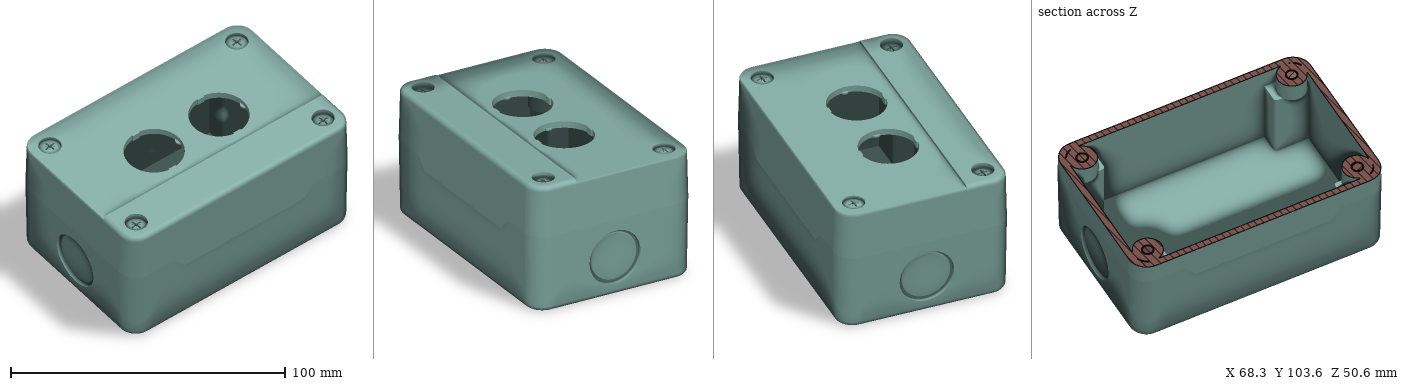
import cadquery as cq
import math

HEIGHT = 50.6
PARTING_Z = 30.6
BASE_DRAFT = 1.0
LID_DRAFT = 1.5
BASE_SLOPE = math.tan(math.radians(BASE_DRAFT))
LID_SLOPE = math.tan(math.radians(LID_DRAFT))
OVERALL_X = 68.31
LENGTH_Y = 103.57
CORNER_RADIUS = 7.5
EDGE_FILLET = 2.0

TAB_DEPTH = 5.2
TAB_TOP_HALF = 32.3
TAB_BOTTOM_HALF = 27.8
WIDTH_X = OVERALL_X - 2 * TAB_DEPTH * LID_SLOPE

WALL = 3.0
FLOOR = 3.0
LID_PLATE = 2.6
INNER_X = WIDTH_X - 2 * WALL
INNER_Y = LENGTH_Y - 2 * WALL
INNER_RADIUS = CORNER_RADIUS - WALL

STEP_HEIGHT = 1.0
STRIP_X = 16.0
PANEL_Z = HEIGHT - STEP_HEIGHT
LID_UNDERSIDE = PANEL_Z - LID_PLATE

OPENING_Y = 15.0
OPENING_DIAMETER = 22.4
KEY_WIDTH = 3.0
KEY_INSET = 0.65
NUB_RADIUS = 1.81
NUB_INSET = 1.0
NUB_HEIGHT = 0.6

SCREW_X = 25.5
SCREW_Y = 43.25
HEAD_DIAMETER = 8.45
HEAD_HOLE_DIAMETER = 8.5
HEAD_RIM_Z = 48.6
HEAD_SEAT_Z = 45.8
HEAD_RIM_FILLET = 0.75
HEAD_DOME = 0.8
SHANK_DIAMETER = 4.0
SHANK_END_Z = 12.0
CLEARANCE_DIAMETER = 4.5
BOSS_DIAMETER = 11.5
POST_X = 22.85
POST_Y = 35.0
POST_ROUNDING = 1.25
CROSS_TURN = 8.0
CROSS_SPAN = 4.45
CROSS_ARM = 0.7
CROSS_MARK_SPAN = 3.62
CROSS_MARK_TURN = 45.0
CROSS_MARK_ARM = 0.25
CROSS_DEPTH = 1.5
CROSS_MARK_DEPTH = 0.6

KNOCKOUT_Z = 15.4
KNOCKOUT_RECESS_DIAMETER = 21.5
KNOCKOUT_DISC_DIAMETER = 19.5
KNOCKOUT_DEPTH = 1.5
KNOCKOUT_DISC_HEIGHT = 0.6
KNOCKOUT_FILLET = 0.5

SCREW_SPOTS = [(sx * SCREW_X, sy * SCREW_Y) for sx in (-1, 1) for sy in (-1, 1)]


def drafted_block(height, draft):
    """Rounded block that starts at the parting plane and narrows; negative height goes down."""
    outline = cq.Sketch().rect(WIDTH_X, LENGTH_Y).vertices().fillet(CORNER_RADIUS)
    return (
        cq.Workplane("XY", origin=(0, 0, PARTING_Z))
        .placeSketch(outline)
        .extrude(height, taper=draft)
    )


def cavity(bottom_z, top_z):
    return (
        cq.Workplane("XY", origin=(0, 0, bottom_z))
        .rect(INNER_X, INNER_Y)
        .extrude(top_z - bottom_z)
        .edges("|Z")
        .fillet(INNER_RADIUS)
    )


def cylinders(spots, diameter, bottom_z, top_z):
    return (
        cq.Workplane("XY", origin=(0, 0, bottom_z))
        .pushPoints(spots)
        .circle(diameter / 2)
        .extrude(top_z - bottom_z)
    )


def tab_prism(side):
    """Trapezoid prism through the wall at X side -1 or +1, reaching past the outer face."""
    bottom_z = PARTING_Z - TAB_DEPTH
    return (
        cq.Workplane("YZ", origin=(side * INNER_X / 2, 0, 0))
        .moveTo(-TAB_TOP_HALF, PARTING_Z)
        .lineTo(TAB_TOP_HALF, PARTING_Z)
        .lineTo(TAB_BOTTOM_HALF, bottom_z)
        .lineTo(-TAB_BOTTOM_HALF, bottom_z)
        .close()
        .extrude(side * 2 * WALL)
    )


def side_tab(side):
    """Tab whose outer face carries on the slope of the lid wall above it."""
    bottom_z = PARTING_Z - TAB_DEPTH
    sloped_band = (
        cq.Workplane("XZ", origin=(0, TAB_TOP_HALF, 0))
        .moveTo(0, bottom_z)
        .lineTo(side * OVERALL_X / 2, bottom_z)
        .lineTo(side * WIDTH_X / 2, PARTING_Z)
        .lineTo(0, PARTING_Z)
        .close()
        .extrude(2 * TAB_TOP_HALF)
    )
    return tab_prism(side).intersect(sloped_band)


def knockout_groove():
    """Cutter for the -Y wall: a round recess that leaves a rounded disc on its floor."""
    wall_y = -LENGTH_Y / 2 + (PARTING_Z - KNOCKOUT_Z) * BASE_SLOPE
    recess = (
        cq.Workplane("XY")
        .workplane(offset=-KNOCKOUT_DEPTH)
        .circle(KNOCKOUT_RECESS_DIAMETER / 2)
        .extrude(2 * KNOCKOUT_DEPTH)
    )
    disc = (
        cq.Workplane("XY")
        .workplane(offset=-KNOCKOUT_DEPTH)
        .circle(KNOCKOUT_DISC_DIAMETER / 2)
        .extrude(KNOCKOUT_DISC_HEIGHT)
        .faces(">Z")
        .edges()
        .fillet(KNOCKOUT_FILLET)
    )
    return (
        recess.cut(disc)
        .rotate((0, 0, 0), (1, 0, 0), 90 + BASE_DRAFT)
        .translate((0, wall_y, KNOCKOUT_Z))
    )


def corner_posts(bottom_z, top_z):
    """Posts with rounded corners, reaching into the walls so that they join them."""
    size_x = WIDTH_X / 2 - POST_X
    size_y = LENGTH_Y / 2 - POST_Y
    spots = [
        (sx * (POST_X + size_x / 2), sy * (POST_Y + size_y / 2))
        for sx in (-1, 1)
        for sy in (-1, 1)
    ]
    return (
        cq.Workplane("XY", origin=(0, 0, bottom_z))
        .pushPoints(spots)
        .rect(size_x, size_y)
        .extrude(top_z - bottom_z)
        .edges("|Z")
        .fillet(POST_ROUNDING)
    )


def make_base():
    """Open box with solid corner posts, notches for the tabs and a knockout in each end wall."""
    body = drafted_block(-PARTING_Z, BASE_DRAFT).faces("<Z").edges().fillet(EDGE_FILLET)
    room = cavity(FLOOR, PARTING_Z).cut(corner_posts(FLOOR, PARTING_Z))
    body = body.cut(room)
    body = body.cut(cylinders(SCREW_SPOTS, SHANK_DIAMETER, SHANK_END_Z, PARTING_Z))
    for side in (-1, 1):
        body = body.cut(tab_prism(side))
    groove = knockout_groove()
    return body.cut(groove).cut(groove.mirror("XZ"))


def control_opening(y):
    """Cutter for one keyed opening through the panel."""
    radius = OPENING_DIAMETER / 2
    opening = cylinders([(0, y)], OPENING_DIAMETER, LID_UNDERSIDE, PANEL_Z)
    keys = (
        cq.Workplane("XY", origin=(0, y, LID_UNDERSIDE))
        .pushPoints([(-radius, 0), (radius, 0)])
        .rect(2 * KEY_INSET, KEY_WIDTH)
        .extrude(LID_PLATE)
    )
    nub_centre = radius - NUB_INSET + NUB_RADIUS
    nub_spots = [(0, y - nub_centre), (0, y + nub_centre)]
    nubs = cylinders(nub_spots, 2 * NUB_RADIUS, LID_UNDERSIDE, LID_UNDERSIDE + NUB_HEIGHT)
    return opening.cut(keys).cut(nubs)


def make_lid():
    """Cover with a lowered panel, two keyed openings and a boss around each screw."""
    body = drafted_block(HEIGHT - PARTING_Z, LID_DRAFT).faces(">Z").edges().fillet(EDGE_FILLET)
    lowered_panel = (
        cq.Workplane("XY", origin=(0, 0, PANEL_Z))
        .center(STRIP_X - WIDTH_X / 2, 0)
        .rect(WIDTH_X, LENGTH_Y)
        .extrude(STEP_HEIGHT)
    )
    body = body.cut(lowered_panel)
    bosses = cylinders(SCREW_SPOTS, BOSS_DIAMETER, PARTING_Z, LID_UNDERSIDE)
    body = body.cut(cavity(PARTING_Z, LID_UNDERSIDE).cut(bosses))
    for y in (-OPENING_Y, OPENING_Y):
        body = body.cut(control_opening(y))
    body = body.cut(cylinders(SCREW_SPOTS, CLEARANCE_DIAMETER, PARTING_Z, HEAD_SEAT_Z))
    return body.cut(cylinders(SCREW_SPOTS, HEAD_HOLE_DIAMETER, HEAD_SEAT_Z, HEIGHT))


def cross_recess(span, arm, depth, turn):
    """Cross-shaped cutter sunk by `depth` from the crown of a screw head."""
    top_z = HEAD_RIM_Z + HEAD_DOME
    bar = cq.Workplane("XY", origin=(0, 0, top_z - depth)).rect(span, arm).extrude(2 * depth)
    cross = bar.union(bar.rotate((0, 0, 0), (0, 0, 1), 90))
    return cross.rotate((0, 0, 0), (0, 0, 1), turn)


def make_screw(x, y):
    """Screw with a rounded rim, a shallow domed face and a Pozidriv recess."""
    head_radius = HEAD_DIAMETER / 2
    dome_radius = head_radius - HEAD_RIM_FILLET
    dome_sphere = (dome_radius**2 + HEAD_DOME**2) / (2 * HEAD_DOME)
    half_dome = dome_radius / 2
    half_dome_z = (
        HEAD_RIM_Z + HEAD_DOME - dome_sphere + math.sqrt(dome_sphere**2 - half_dome**2)
    )
    rim_offset = HEAD_RIM_FILLET * math.sqrt(0.5)
    body = (
        cq.Workplane("XZ")
        .moveTo(0, SHANK_END_Z)
        .lineTo(SHANK_DIAMETER / 2, SHANK_END_Z)
        .lineTo(SHANK_DIAMETER / 2, HEAD_SEAT_Z)
        .lineTo(head_radius, HEAD_SEAT_Z)
        .lineTo(head_radius, HEAD_RIM_Z - HEAD_RIM_FILLET)
        .threePointArc(
            (dome_radius + rim_offset, HEAD_RIM_Z - HEAD_RIM_FILLET + rim_offset),
            (dome_radius, HEAD_RIM_Z),
        )
        .threePointArc((half_dome, half_dome_z), (0, HEAD_RIM_Z + HEAD_DOME))
        .close()
        .revolve(360, (0, 0, 0), (0, 1, 0))
    )
    body = body.cut(cross_recess(CROSS_SPAN, CROSS_ARM, CROSS_DEPTH, CROSS_TURN))
    marks = cross_recess(CROSS_MARK_SPAN, CROSS_MARK_ARM, CROSS_MARK_DEPTH, CROSS_TURN + CROSS_MARK_TURN)
    return body.cut(marks).translate((x, y, 0))


base = make_base()
lid = make_lid()
tabs = [side_tab(side) for side in (-1, 1)]
screws = [make_screw(x, y) for x, y in SCREW_SPOTS]

result = cq.Compound.makeCompound(
    [base.val(), lid.val()] + [tab.val() for tab in tabs] + [screw.val() for screw in screws]
)